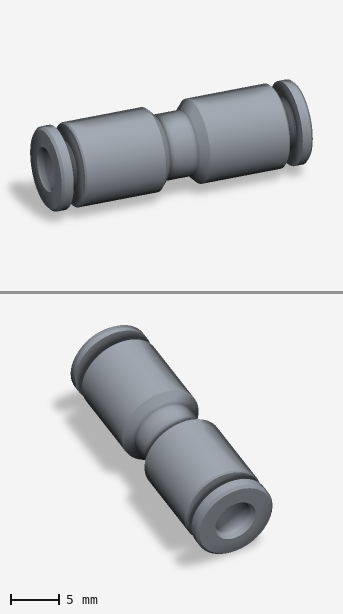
import cadquery as cq
import math

length = 28.2
outer_radius = 9.0 / 2
half_length = length / 2

waist_half_width = 1.5
waist_radius = 3.5
waist_cone_length = outer_radius - waist_radius

body_half_length = 11.67
body_face_cone = 0.17
body_rim_chamfer = 0.17
body_ring_inner_radius = 3.84

collar_thickness = 1.25
collar_chamfer = 0.28
neck_radius = 2.62
neck_chamfer = 0.17

bore_radius = 2.1
mouth_chamfer = 0.28
mouth_chamfer_length = 0.48
through_radius = 1.5
bore_cone_half_angle = 60
bore_cone_length = (bore_radius - through_radius) / math.tan(math.radians(bore_cone_half_angle))
bore_cone_end = waist_half_width

waist_cone_end = waist_half_width + waist_cone_length
body_rim = body_half_length - body_face_cone
collar_back = half_length - collar_thickness


def coupling():
    """Revolve the mirrored (radius, axial) section about the Y axis."""
    outside = [
        (waist_radius, waist_half_width),
        (outer_radius, waist_cone_end),
        (outer_radius, body_rim - body_rim_chamfer),
        (outer_radius - body_rim_chamfer, body_rim),
        (body_ring_inner_radius, body_rim),
        (neck_radius, body_half_length),
        (neck_radius, collar_back - neck_chamfer),
        (neck_radius + neck_chamfer, collar_back),
        (outer_radius, collar_back),
        (outer_radius, half_length - collar_chamfer),
        (outer_radius - collar_chamfer, half_length),
    ]
    bore = [
        (bore_radius + mouth_chamfer, half_length),
        (bore_radius, half_length - mouth_chamfer_length),
        (bore_radius, bore_cone_end + bore_cone_length),
        (through_radius, bore_cone_end),
    ]
    positive_end = outside + bore
    negative_end = [(radius, -axial) for radius, axial in reversed(positive_end)]
    section = cq.Workplane("XY").polyline(positive_end + negative_end).close()
    return section.revolve(360, (0, 0, 0), (0, 1, 0))


result = coupling()